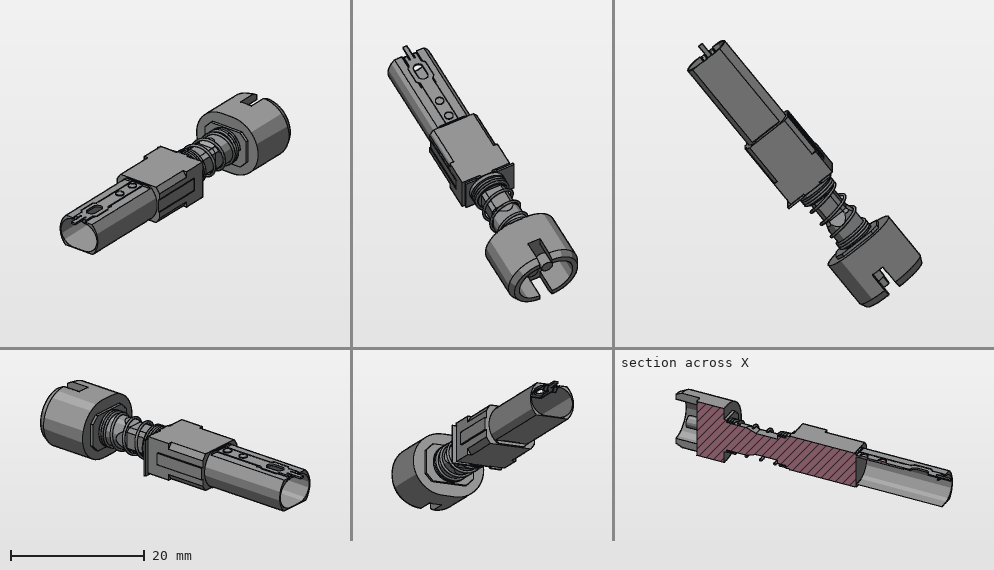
import cadquery as cq
import math

LENGTH = 46.3

CAP_DEPTH = 9.6
CAP_FLAT = 2.05
CAP_WIDTH = CAP_DEPTH + CAP_FLAT
CAP_BACK = 37.75
CAP_WALL = 1.35
CAP_FLOOR = 42.3
BEVEL_LENGTH = 1.0
BEVEL_INSET = 0.5
PEG_RADIUS = 0.93
PEG_GAP = 0.6
PEG_END = 44.25

PLATE_WIDTH = 7.8
PLATE_DEPTH = 5.8
PLATE_CORNER = 1.1
PLATE_BACK = 37.25

SHAFT_RADIUS = 2.475
SQUARE_SIZE = 3.8
SQUARE_CORNER = 0.6
RAMP_START = 32.35
RAMP_END = 34.0
SPIGOT_RADIUS = 2.45
SPIGOT_END = 28.85

SPRING_RADIUS = 2.7
WIRE_DIAMETER = 0.395
SPRING_Y = (37.15, 35.9, 28.7, 27.45)
SPRING_STAGES = len(SPRING_Y) - 1
TURNS_PER_STAGE = 3
POINTS_PER_TURN = 12

COLLAR_RADIUS = 2.895
COLLAR_END = 27.4
FLANGE_LEFT = -4.6
FLANGE_RIGHT = 3.45
FLANGE_BOTTOM = -3.3
FLANGE_TOP = 2.6
FLANGE_END = 26.85
FLANGE_BACK = 26.55
TAB_WIDTH = 3.5
TAB_TOP = 2.85
TONGUE_WIDTH = 2.05
NOTCH_WIDTH = 3.5
NOTCH_SLANT = 0.3

HOUSING_WIDTH = 7.95
HOUSING_DEPTH = 6.0
HOUSING_END = 26.58
HOUSING_BACK = 15.95
ROUNDED_RADIUS = 4.5
ROUNDED_END = 22.55
KEY_END = 24.55
KEY_WIDTH = 1.9
KEY_HEIGHT = 0.3
KEYWAY_WIDTH = 2.1
KEYWAY_DEPTH = 0.15

TUBE_RADIUS = 3.55
RIM_HALF_DEPTH = 2.9
RIM_BACK = 15.65
TUBE_TOP = 2.6
TUBE_BOTTOM = -2.45
TUBE_BACK = 1.4
BORE_RADIUS = 2.35
BORE_FLAT = 2.05
TUBE_SLOT_WIDTH = 2.4
TUBE_SLOT_END = 7.82

LEAF_TOP = 2.75
LEAF_THICKNESS = 0.3
LEAF_HALF_WIDTH = 1.04
PAD_HALF_WIDTH = 1.5
PAD_Y = (3.45, 3.85, 6.6, 7.1)
LEAF_FRONT = 1.8
TONGUE_HALF_WIDTH = 0.345
SLIT_WIDTH = 0.15
SLIT_END = 2.5
WINDOW_WIDTH = 1.55
WINDOW_LENGTH = 3.0
WINDOW_Y = 5.2
RIVET_RADIUS = 0.65
RIVET_TOP = 2.85
RIVET_Y = (11.4, 14.45)
LEG_KNEE = 2.4
LEG_BOTTOM = 1.75
LEG_REACH = 0.32
LEG_FOLD = 0.7


def section(y):
    """Sketching plane across the axis; extruding from it goes toward -Y."""
    return cq.Workplane("XZ", origin=(0, y, 0))


def block(x_range, y_range, z_range):
    lows, highs = zip(x_range, y_range, z_range)
    sizes = [high - low for low, high in zip(lows, highs)]
    return cq.Workplane("XY").box(*sizes, centered=False).translate(lows)


def cylinder(radius, y_back, y_end):
    return section(y_end).circle(radius).extrude(y_end - y_back)


def trimmed_cylinder(radius, y_back, y_end, z_low, z_high):
    """Cylinder along Y with flats at the given heights."""
    slab = block((-radius, radius), (y_back, y_end), (z_low, z_high))
    return cylinder(radius, y_back, y_end).intersect(slab)


def make_cap():
    cap = section(LENGTH).slot2D(CAP_WIDTH, CAP_DEPTH).extrude(LENGTH - CAP_BACK)
    cap = cap.faces(">Y").chamfer(BEVEL_LENGTH, BEVEL_INSET)
    cavity = section(LENGTH).slot2D(CAP_WIDTH - 2 * CAP_WALL, CAP_DEPTH - 2 * CAP_WALL)
    cap = cap.cut(cavity.extrude(LENGTH - CAP_FLOOR))
    slot = block((-CAP_FLAT / 2, CAP_FLAT / 2), (CAP_FLOOR, LENGTH), (-CAP_DEPTH, CAP_DEPTH))
    peg_x = PEG_GAP / 2 + PEG_RADIUS
    pegs = section(PEG_END).pushPoints([(-peg_x, 0), (peg_x, 0)]).circle(PEG_RADIUS)
    return cap.cut(slot).union(pegs.extrude(PEG_END - CAP_BACK))


def make_plate():
    plate = section(CAP_BACK).rect(PLATE_WIDTH, PLATE_DEPTH).extrude(CAP_BACK - PLATE_BACK)
    return plate.edges("|Y").chamfer(PLATE_CORNER)


def make_shaft():
    square = section(RAMP_START).rect(SQUARE_SIZE, SQUARE_SIZE).extrude(RAMP_START - COLLAR_END)
    square = square.edges("|Y").chamfer(SQUARE_CORNER)
    slope = math.atan((SHAFT_RADIUS - SQUARE_SIZE / 2) / (RAMP_END - RAMP_START))
    ramps = square.faces(">Y").wires().toPending().workplane()
    ramps = ramps.extrude(PLATE_BACK - RAMP_START, taper=-math.degrees(slope), combine=False)
    round_part = cylinder(SHAFT_RADIUS, RAMP_START, PLATE_BACK).intersect(ramps)
    return square.union(round_part).union(cylinder(SPIGOT_RADIUS, COLLAR_END, SPIGOT_END))


def spring_point(turn):
    """Point of the spring's center line after a number of turns down from the cap."""
    stage = min(int(turn / TURNS_PER_STAGE), SPRING_STAGES - 1)
    part = turn / TURNS_PER_STAGE - stage
    y = SPRING_Y[stage] + part * (SPRING_Y[stage + 1] - SPRING_Y[stage])
    angle = 2 * math.pi * turn
    return cq.Vector(SPRING_RADIUS * math.cos(angle), y, SPRING_RADIUS * math.sin(angle))


def make_spring():
    steps = SPRING_STAGES * TURNS_PER_STAGE * POINTS_PER_TURN
    points = [spring_point(step / POINTS_PER_TURN) for step in range(steps + 1)]
    path = cq.Workplane("XY").spline(points)
    start = cq.Plane(points[0], xDir=(1, 0, 0), normal=points[1] - points[0])
    wire = cq.Workplane(start).circle(WIRE_DIAMETER / 2)
    return wire.sweep(path, isFrenet=True)


def make_flange():
    half_depth = HOUSING_DEPTH / 2
    half_notch = NOTCH_WIDTH / 2
    flange_y = (FLANGE_BACK, FLANGE_END)
    flange = block((FLANGE_LEFT, FLANGE_RIGHT), flange_y, (FLANGE_BOTTOM, FLANGE_TOP))
    for width, top in ((TAB_WIDTH, TAB_TOP), (TONGUE_WIDTH, half_depth)):
        flange = flange.union(block((-width / 2, width / 2), flange_y, (0, top)))
    notch = [
        (-half_notch, FLANGE_BOTTOM), (-half_notch + NOTCH_SLANT, -half_depth),
        (half_notch - NOTCH_SLANT, -half_depth), (half_notch, FLANGE_BOTTOM),
    ]
    flange = flange.cut(section(FLANGE_END).polyline(notch).close().extrude(FLANGE_END - FLANGE_BACK))
    return flange.union(cylinder(COLLAR_RADIUS, FLANGE_BACK, COLLAR_END))


def make_housing():
    half_width = HOUSING_WIDTH / 2
    half_depth = HOUSING_DEPTH / 2
    housing = section(HOUSING_END).rect(HOUSING_WIDTH, HOUSING_DEPTH).extrude(HOUSING_END - HOUSING_BACK)
    ring = section(ROUNDED_END).rect(2 * HOUSING_WIDTH, 2 * HOUSING_DEPTH).circle(ROUNDED_RADIUS)
    housing = housing.cut(ring.extrude(ROUNDED_END - HOUSING_BACK))
    key_y = (HOUSING_BACK, KEY_END)
    key = block((-half_width - KEY_HEIGHT, 0), key_y, (-KEY_WIDTH / 2, KEY_WIDTH / 2))
    keyway = block((half_width - KEYWAY_DEPTH, half_width), key_y, (-KEYWAY_WIDTH / 2, KEYWAY_WIDTH / 2))
    rim = trimmed_cylinder(TUBE_RADIUS, RIM_BACK, HOUSING_BACK, -RIM_HALF_DEPTH, RIM_HALF_DEPTH)
    return housing.union(key).cut(keyway).union(rim)


def make_tube():
    tube = trimmed_cylinder(TUBE_RADIUS, TUBE_BACK, RIM_BACK, TUBE_BOTTOM, TUBE_TOP)
    bore = section(RIM_BACK).slot2D(2 * BORE_RADIUS + BORE_FLAT, 2 * BORE_RADIUS)
    half_slot = TUBE_SLOT_WIDTH / 2
    slot = block((-half_slot, half_slot), (TUBE_BACK, TUBE_SLOT_END), (0, TUBE_TOP))
    return tube.cut(bore.extrude(RIM_BACK - TUBE_BACK)).cut(slot)


def make_leaf():
    widen, wide, wide_end, narrow = PAD_Y
    slit_x = TONGUE_HALF_WIDTH + SLIT_WIDTH
    right_side = [
        (TONGUE_HALF_WIDTH, 0), (TONGUE_HALF_WIDTH, SLIT_END), (slit_x, SLIT_END), (slit_x, LEAF_FRONT),
        (LEAF_HALF_WIDTH, LEAF_FRONT), (LEAF_HALF_WIDTH, widen), (PAD_HALF_WIDTH, wide),
        (PAD_HALF_WIDTH, wide_end), (LEAF_HALF_WIDTH, narrow), (LEAF_HALF_WIDTH, RIM_BACK),
    ]
    left_side = [(-x, y) for x, y in reversed(right_side)]
    bottom = cq.Workplane("XY", origin=(0, 0, LEAF_TOP - LEAF_THICKNESS))
    leaf = bottom.polyline(right_side + left_side).close().extrude(LEAF_THICKNESS)
    window = bottom.center(0, WINDOW_Y).slot2D(WINDOW_LENGTH, WINDOW_WIDTH, 90).extrude(LEAF_THICKNESS)
    rivets = bottom.pushPoints([(0, y) for y in RIVET_Y]).circle(RIVET_RADIUS)
    leaf = leaf.cut(window).union(rivets.extrude(RIVET_TOP - LEAF_TOP + LEAF_THICKNESS))
    knee_y = LEAF_FRONT - LEG_REACH
    front_line = [(LEAF_FRONT, LEAF_TOP), (knee_y, LEG_KNEE), (knee_y + LEG_FOLD, LEG_BOTTOM)]
    back_line = [(y + LEAF_THICKNESS, z) for y, z in reversed(front_line)]
    leg_side = front_line + back_line
    for x in (slit_x, -LEAF_HALF_WIDTH):
        leg = cq.Workplane("YZ", origin=(x, 0, 0)).polyline(leg_side).close()
        leaf = leaf.union(leg.extrude(LEAF_HALF_WIDTH - slit_x))
    return leaf


result = make_cap()
for feature in (make_plate(), make_shaft(), make_flange(), make_housing(), make_tube(), make_leaf(),
                make_spring()):
    result = result.union(feature)